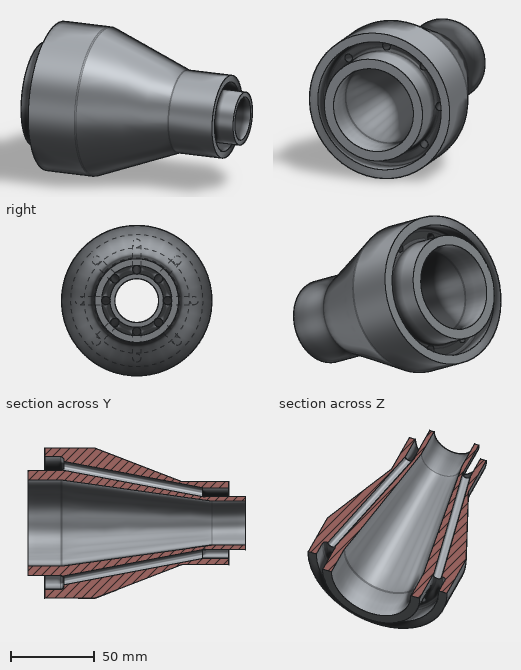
import cadquery as cq
import math

total_length = 130.0
sleeve_overhang = 10.0
cone_start = 40.0
cone_end = 91.9
body_radius = 45.0
barrel_radius = 25.0
sleeve_radius = 31.5
spigot_radius = 16.0
large_bore_radius = 25.6
small_bore_radius = 13.0
bore_straight_length = 20.0
shoulder_blend = 2.6
bore_blend = 5.2
barrel_blend = 0.8

large_groove_radius = 39.5
large_groove_floor = 21.5
groove_fillet = 2.0
small_groove_width = 5.0
small_groove_depth = 15.6

passage_count = 8
passage_radius = 2.5
passage_start_radius = 34.2

body_end = total_length - sleeve_overhang
small_groove_floor = body_end - small_groove_depth
small_groove_radius = spigot_radius + small_groove_width
passage_end_radius = spigot_radius + small_groove_width / 2


def revolve_profile(points):
    """Turn a closed (x, radius) outline about the X axis."""
    return cq.Workplane("XZ").polyline(points).close().revolve(360, (0, 0, 0), (1, 0, 0))


def blend_circle(body, x, radius, blend):
    """Fillet the circular edge with this place along the axis and this radius."""
    tolerance = 0.01

    def matches(edge):
        on_plane = abs(edge.Center().x - x) < tolerance
        return on_plane and edge.geomType() == "CIRCLE" and abs(edge.radius() - radius) < tolerance

    return body.edges().filter(matches).fillet(blend)


def outer_body():
    body = revolve_profile([
        (0, 0),
        (0, sleeve_radius),
        (large_groove_floor, sleeve_radius),
        (large_groove_floor, large_groove_radius),
        (sleeve_overhang, large_groove_radius),
        (sleeve_overhang, body_radius),
        (cone_start, body_radius),
        (cone_end, barrel_radius),
        (body_end, barrel_radius),
        (body_end, small_groove_radius),
        (small_groove_floor, small_groove_radius),
        (small_groove_floor, spigot_radius),
        (total_length, spigot_radius),
        (total_length, 0),
    ])
    for groove_wall_radius in (sleeve_radius, large_groove_radius):
        body = blend_circle(body, large_groove_floor, groove_wall_radius, groove_fillet)
    body = blend_circle(body, cone_start, body_radius, shoulder_blend)
    return blend_circle(body, cone_end, barrel_radius, barrel_blend)


def tapered_bore():
    bore = revolve_profile([
        (0, 0),
        (0, large_bore_radius),
        (bore_straight_length, large_bore_radius),
        (total_length - bore_straight_length, small_bore_radius),
        (total_length, small_bore_radius),
        (total_length, 0),
    ])
    return blend_circle(bore, bore_straight_length, large_bore_radius, bore_blend)


def passage(angle):
    """Drill from the large groove inward to the small groove at one angle."""
    run = small_groove_floor - large_groove_floor
    slope = (passage_end_radius - passage_start_radius) / run
    lead = groove_fillet
    start_radius = passage_start_radius - slope * lead
    start = cq.Vector(large_groove_floor - lead, 0, start_radius)
    direction = cq.Vector(1, 0, slope)
    length = (run + 2 * lead) * math.hypot(1, slope)
    drill = cq.Solid.makeCylinder(passage_radius, length, start, direction)
    return cq.Workplane(drill).rotate((0, 0, 0), (1, 0, 0), angle)


result = outer_body().cut(tapered_bore())
for index in range(passage_count):
    result = result.cut(passage(index * 360 / passage_count))